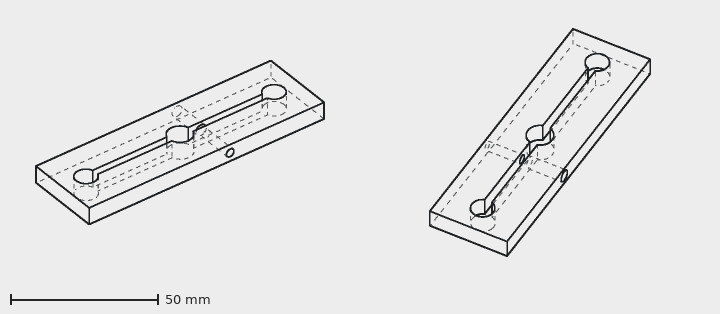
import cadquery as cq

width = 30.0
length = 100.0
thickness = 7.0

end_hole_diameter = 8.3
centre_hole_diameter = 9.4
end_hole_offset = 40.0
slot_width = 2.8

bolt_y = 10.0
clearance_diameter = 4.3
tap_diameter = 3.2


def vertical_hole(y, diameter):
    return cq.Workplane("XY").center(0, y).circle(diameter / 2).extrude(thickness)


def cross_hole(x_start, diameter):
    """Half-width bore along +X at mid thickness."""
    return (
        cq.Workplane("YZ", origin=(x_start, bolt_y, thickness / 2))
        .circle(diameter / 2)
        .extrude(width / 2)
    )


plate = cq.Workplane("XY").box(width, length, thickness, centered=(True, True, False))
slot = cq.Workplane("XY").rect(slot_width, 2 * end_hole_offset).extrude(thickness)

result = plate.cut(slot).cut(vertical_hole(0, centre_hole_diameter))
for end_y in (-end_hole_offset, end_hole_offset):
    result = result.cut(vertical_hole(end_y, end_hole_diameter))

result = result.cut(cross_hole(-width / 2, clearance_diameter))
result = result.cut(cross_hole(0, tap_diameter))